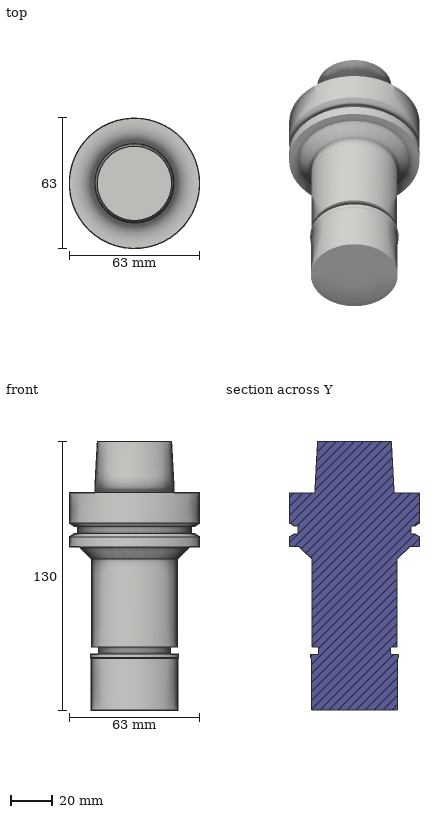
import cadquery as cq

taper_top_diameter = 35.9
taper_base_diameter = 38.4
flange_diameter = 63.0
groove_diameter = 55.0
cone_top_diameter = 53.5
shank_diameter = 41.5
neck_diameter = 35.0
collar_diameter = 42.6
nut_diameter = 42.0

total_height = 130.0
taper_base_z = 107.2
flange_top_z = 105.2
upper_flange_edge_z = 90.5
groove_top_z = 88.9
groove_bottom_z = 85.4
lower_flange_edge_z = 83.8
flange_bottom_z = 79.0
cone_bottom_z = 73.2
shank_bottom_z = 30.5
collar_top_z = 27.2
collar_bottom_z = 25.5

collar_bevel_height = (collar_diameter - nut_diameter) / 2

groove_bevel_diameter = 58.0

profile = [
    (nut_diameter, 0),
    (nut_diameter, collar_bottom_z - collar_bevel_height),
    (collar_diameter, collar_bottom_z),
    (collar_diameter, collar_top_z),
    (neck_diameter, collar_top_z),
    (neck_diameter, shank_bottom_z),
    (shank_diameter, shank_bottom_z),
    (shank_diameter, cone_bottom_z),
    (cone_top_diameter, flange_bottom_z),
    (flange_diameter, flange_bottom_z),
    (flange_diameter, lower_flange_edge_z),
    (groove_bevel_diameter, groove_bottom_z),
    (groove_diameter, groove_bottom_z),
    (groove_diameter, groove_top_z),
    (groove_bevel_diameter, groove_top_z),
    (flange_diameter, upper_flange_edge_z),
    (flange_diameter, flange_top_z),
    (taper_base_diameter, flange_top_z),
    (taper_base_diameter, taper_base_z),
    (taper_top_diameter, total_height),
]

outline = [(0, 0)]
outline += [(diameter / 2, height) for diameter, height in profile]
outline += [(0, total_height)]
result = cq.Workplane("XZ").polyline(outline).close().revolve(360, (0, 0, 0), (0, 1, 0))